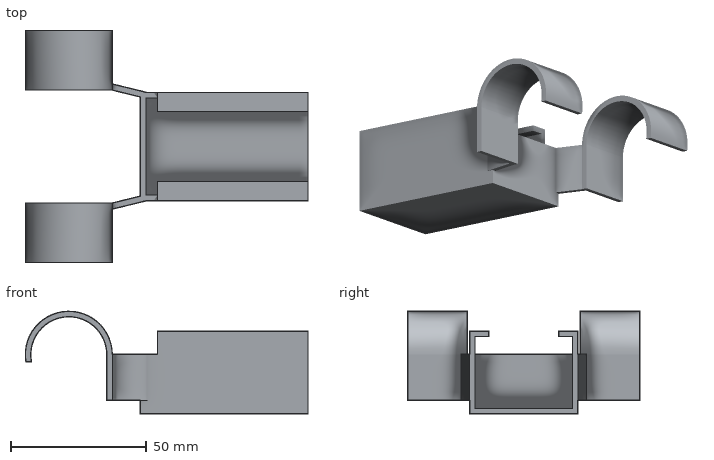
import cadquery as cq
import math

wall = 2.1

tray_front = 42.5
tray_back = 104.7
tray_width = 40.1
tray_height = 30.7
lip_front = 48.9
lip_width = 7.1

arm_bottom = 5.0
arm_top = 22.1
arm_bend_x = 45.0
arm_root_inner_y = 18.3
arm_tip_inner_y = 20.8

hook_radius = 16.1
hook_top = 38.0
hook_tip_z = 19.3
overall_width = 86.0

tray_half_width = tray_width / 2
overall_half_width = overall_width / 2
hook_diameter = 2 * hook_radius
hook_inner_radius = hook_radius - wall
hook_center_z = hook_top - hook_radius


def make_tray():
    """U-shaped tray with a low front wall, a floor and two lipped side walls."""
    tray_length = tray_back - tray_front
    outside = cq.Workplane("XY").box(
        tray_length, tray_width, tray_height, centered=(False, True, False)
    ).translate((tray_front, 0, 0))
    channel = cq.Workplane("XY").box(
        tray_length, tray_width - 2 * wall, tray_height - 2 * wall, centered=(False, True, False)
    ).translate((tray_front + wall, 0, wall))
    lip_gap = cq.Workplane("XY").box(
        tray_length, tray_width - 2 * lip_width, tray_height, centered=(False, True, False)
    ).translate((tray_front + wall, 0, wall))
    front_step = cq.Workplane("XY").box(
        lip_front - tray_front, tray_width, tray_height - arm_top, centered=(False, True, False)
    ).translate((tray_front, 0, arm_top))
    return outside.cut(channel).cut(lip_gap).cut(front_step)


def make_hook():
    """Hook on the +Y side, its profile extruded along Y."""
    tip_drop = hook_center_z - hook_tip_z
    outer_tip_x = hook_radius - math.sqrt(hook_radius**2 - tip_drop**2)
    inner_tip_x = hook_radius - math.sqrt(hook_inner_radius**2 - tip_drop**2)
    profile = (
        cq.Workplane("XZ", origin=(0, overall_half_width, 0))
        .moveTo(outer_tip_x, hook_tip_z)
        .threePointArc((0, hook_center_z), (hook_radius, hook_top))
        .radiusArc((hook_diameter, hook_center_z), hook_radius)
        .lineTo(hook_diameter, arm_bottom)
        .lineTo(hook_diameter - wall, arm_bottom)
        .lineTo(hook_diameter - wall, hook_center_z)
        .threePointArc((hook_radius, hook_center_z + hook_inner_radius), (inner_tip_x, hook_tip_z))
        .close()
    )
    return profile.extrude(overall_half_width - arm_tip_inner_y)


def make_arm():
    """Slanted arm on the +Y side; its two faces are parallel."""
    slope = (arm_tip_inner_y - arm_root_inner_y) / (tray_front - hook_diameter)
    arm_tip_outer_y = tray_half_width + slope * (arm_bend_x - hook_diameter)
    outline = [
        (hook_diameter, arm_tip_inner_y),
        (tray_front, arm_root_inner_y),
        (tray_front + wall, tray_half_width - wall),
        (arm_bend_x, tray_half_width),
        (hook_diameter, arm_tip_outer_y),
    ]
    return (
        cq.Workplane("XY", origin=(0, 0, arm_bottom))
        .polyline(outline)
        .close()
        .extrude(arm_top - arm_bottom)
    )


arm_and_hook = make_hook().union(make_arm())
result = make_tray().union(arm_and_hook).union(arm_and_hook.mirror("XZ"))